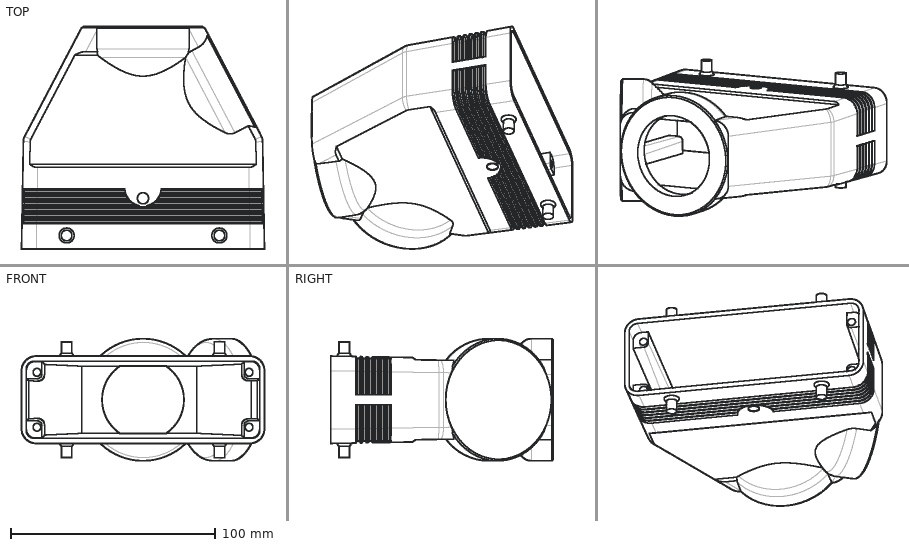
import cadquery as cq
import math

LENGTH = 109.2
HALF_WIDTH = 59.6
HALF_HEIGHT = 21.5
DRAFT = 1.0
CORNER_RADIUS = 7.2

SHOULDER_RADIUS = 4.8
SHOULDER_Y = 54.1
BODY_END_Y = 108.5
BODY_END_HALF_WIDTH = 30.2

PANEL_START_Y = 40.1
PANEL_END_Y = 96.8
PANEL_DEPTH = 1.1
PANEL_RAMP = 1.7

GROOVE_COUNT = 6
GROOVE_PITCH = 3.0
GROOVE_START_Y = 12.0
GROOVE_DEPTH = 0.9
GROOVE_TOP_WIDTH = 2.4
GROOVE_FLOOR_WIDTH = 1.0
GROOVE_SIDE_GAP = 5.0
BADGE_Y = 30.0
BADGE_RADIUS = 9.0
DIMPLE_Y = 24.9
DIMPLE_RADIUS = 2.7
DIMPLE_DEPTH = 0.4

PORT_DIAMETER = 60.0
PORT_RADIUS = PORT_DIAMETER / 2
PORT_CYLINDER_LENGTH = 13.4
PORT_DEPTH = 26.2
PORT_EDGE_RADIUS = 6.0
PORT_RIM_CHAMFER = 0.8
SIDE_PORT_Y = 82.3
SIDE_PORT_STANDOFF = 0.1
CABLE_HOLE_RADIUS = 20.0

PIN_X = 37.4
PIN_Y = 6.7
PIN_RADIUS = 2.6
PIN_TIP_Z = 28.4
PIN_FOOT_RADIUS = 3.7
PIN_FOOT_TOP_Z = 22.9
PIN_SINK = 1.2

MOUTH_HALF_WIDTH = 57.3
MOUTH_HALF_HEIGHT = 19.0
CAVITY_DRAFT = 1.4
CAVITY_CORNER_RADIUS = 4.2
CAVITY_SHOULDER_Y = 52.5
CAVITY_END_Y = 102.5
CAVITY_END_LEFT = -29.9
CAVITY_END_RIGHT = 26.5
CAVITY_LEDGE = 3.1

POST_START_Y = 9.0
POST_END_Y = 73.9
POST_INNER_X = 49.6
POST_INNER_Z = 10.4
POST_DRAFT = 1.4
POST_EDGE_RADIUS = 2.1
SCREW_X = 52.0
SCREW_Z = 13.5
SCREW_RADIUS = 1.9
SCREW_DEPTH = 14.3

PICK_MARGIN = 1.2

draft_slope = math.tan(math.radians(DRAFT))
cavity_slope = math.tan(math.radians(CAVITY_DRAFT))
shoulder_half_width = HALF_WIDTH - SHOULDER_Y * draft_slope
slope_run = shoulder_half_width - BODY_END_HALF_WIDTH
slope_rise = BODY_END_Y - SHOULDER_Y


def body_half_height(y):
    return HALF_HEIGHT - y * draft_slope


def edges_near_y(y):
    """Selector for the edges that lie close to one place along Y."""
    return cq.selectors.BoxSelector(
        (-LENGTH, y - PICK_MARGIN, -LENGTH),
        (LENGTH, y + PICK_MARGIN, LENGTH),
        boundingbox=True,
    )


def drafted_prism(outline, end_y, half_height, slope):
    """XY outline with a height that shrinks steadily along Y."""
    end_half_height = half_height - end_y * slope
    prism = cq.Workplane("XY").polyline(outline).close().extrude(half_height, both=True)
    wedge = (
        cq.Workplane("YZ")
        .polyline([
            (0, -half_height),
            (end_y, -end_half_height),
            (end_y, end_half_height),
            (0, half_height),
        ])
        .close()
        .extrude(HALF_WIDTH, both=True)
    )
    return prism.intersect(wedge)


def hood_body():
    outline = [
        (-HALF_WIDTH, 0),
        (HALF_WIDTH, 0),
        (shoulder_half_width, SHOULDER_Y),
        (BODY_END_HALF_WIDTH, BODY_END_Y),
        (-BODY_END_HALF_WIDTH, BODY_END_Y),
        (-shoulder_half_width, SHOULDER_Y),
    ]
    body = drafted_prism(outline, BODY_END_Y, HALF_HEIGHT, draft_slope)
    body = body.edges("|Z").edges(edges_near_y(SHOULDER_Y)).fillet(SHOULDER_RADIUS)
    return body.edges("not (|X or |Z)").fillet(CORNER_RADIUS)


def panel_recess():
    floor_start_y = PANEL_START_Y + PANEL_RAMP
    floor_end_y = PANEL_END_Y - PANEL_RAMP
    upper = (
        cq.Workplane("YZ")
        .polyline([
            (PANEL_START_Y, HALF_HEIGHT),
            (PANEL_START_Y, body_half_height(PANEL_START_Y)),
            (floor_start_y, body_half_height(floor_start_y) - PANEL_DEPTH),
            (floor_end_y, body_half_height(floor_end_y) - PANEL_DEPTH),
            (PANEL_END_Y, body_half_height(PANEL_END_Y)),
            (PANEL_END_Y, HALF_HEIGHT),
        ])
        .close()
        .extrude(HALF_WIDTH, both=True)
    )
    return upper.union(upper.mirror("XY"))


def groove(center_y):
    """Trapezoidal ring groove around the rounded body section."""
    inset = center_y * draft_slope + GROOVE_DEPTH
    flank = (GROOVE_TOP_WIDTH - GROOVE_FLOOR_WIDTH) / 2
    flank_angle = math.degrees(math.atan2(GROOVE_DEPTH, flank))
    floor_section = (
        cq.Sketch()
        .rect(2 * (HALF_WIDTH - inset), 2 * (HALF_HEIGHT - inset))
        .vertices()
        .fillet(CORNER_RADIUS - GROOVE_DEPTH)
    )
    ring = cq.Workplane("XY").box(2 * HALF_WIDTH, GROOVE_TOP_WIDTH, 2 * HALF_HEIGHT)
    floor_core = cq.Workplane("XZ").placeSketch(floor_section).extrude(GROOVE_FLOOR_WIDTH / 2, both=True)
    front_flank = (
        cq.Workplane("XZ", origin=(0, -GROOVE_FLOOR_WIDTH / 2, 0))
        .placeSketch(floor_section)
        .extrude(flank, taper=-flank_angle)
    )
    ring = ring.cut(floor_core).cut(front_flank).cut(front_flank.mirror("XZ"))
    return ring.translate((0, center_y, 0))


def grip_grooves():
    gap = cq.Workplane("XY").box(3 * HALF_WIDTH, 2 * LENGTH, GROOVE_SIDE_GAP)
    badge = cq.Workplane("XY").center(0, BADGE_Y).circle(BADGE_RADIUS).extrude(HALF_HEIGHT, both=True)
    plain_areas = gap.union(badge)
    centers = [GROOVE_START_Y + (i + 0.5) * GROOVE_PITCH for i in range(GROOVE_COUNT)]
    return [groove(y).cut(plain_areas) for y in centers]


def badge_dimples():
    floor_z = body_half_height(DIMPLE_Y) - DIMPLE_DEPTH
    upper = (
        cq.Workplane("XY", origin=(0, DIMPLE_Y, floor_z))
        .circle(DIMPLE_RADIUS)
        .extrude(HALF_HEIGHT - floor_z)
    )
    return upper.union(upper.mirror("XY"))


def cable_port():
    """Port at the origin with its face at Y = 0, reaching back along -Y."""
    cone_end_radius = PORT_RADIUS - (PORT_DEPTH - PORT_CYLINDER_LENGTH)
    port = (
        cq.Workplane("XY")
        .polyline([
            (0, 0),
            (PORT_RADIUS - PORT_RIM_CHAMFER, 0),
            (PORT_RADIUS, -PORT_RIM_CHAMFER),
            (PORT_RADIUS, -PORT_CYLINDER_LENGTH),
            (cone_end_radius, -PORT_DEPTH),
            (0, -PORT_DEPTH),
        ])
        .close()
        .revolve(360, (0, 0, 0), (0, 1, 0))
    )
    return port.edges(edges_near_y(-PORT_CYLINDER_LENGTH)).fillet(PORT_EDGE_RADIUS)


def side_port():
    tilt = math.degrees(math.atan2(slope_rise, slope_run))
    slope_x = shoulder_half_width - (SIDE_PORT_Y - SHOULDER_Y) * slope_run / slope_rise
    return (
        cable_port()
        .translate((0, SIDE_PORT_STANDOFF, 0))
        .rotate((0, 0, 0), (0, 0, 1), -tilt)
        .translate((slope_x, SIDE_PORT_Y, 0))
    )


def locking_pin(x):
    """Pin with a conical foot on the upper wall."""
    wall_z = body_half_height(PIN_Y)
    foot_z = wall_z - PIN_SINK
    return (
        cq.Workplane("XZ")
        .polyline([
            (0, foot_z),
            (PIN_FOOT_RADIUS, foot_z),
            (PIN_FOOT_RADIUS, wall_z),
            (PIN_RADIUS, PIN_FOOT_TOP_Z),
            (PIN_RADIUS, PIN_TIP_Z),
            (0, PIN_TIP_Z),
        ])
        .close()
        .revolve(360, (0, 0, 0), (0, 1, 0))
        .translate((x, PIN_Y, 0))
    )


def screw_post():
    """Corner post at +X +Z with its screw hole, growing wider towards its root."""
    width = HALF_WIDTH - POST_INNER_X
    height = HALF_HEIGHT - POST_INNER_Z
    section = cq.Sketch().rect(width, height).vertices().fillet(POST_EDGE_RADIUS)
    post = (
        cq.Workplane("XZ", origin=(POST_INNER_X + width / 2, POST_START_Y, POST_INNER_Z + height / 2))
        .placeSketch(section)
        .extrude(-(POST_END_Y - POST_START_Y), taper=-POST_DRAFT)
    )
    screw_hole = (
        cq.Workplane("XZ", origin=(SCREW_X, POST_START_Y, SCREW_Z))
        .circle(SCREW_RADIUS)
        .extrude(-SCREW_DEPTH)
    )
    return post.cut(screw_hole)


def cavity():
    shoulder = MOUTH_HALF_WIDTH - CAVITY_SHOULDER_Y * cavity_slope
    mouth_outline = [
        (-MOUTH_HALF_WIDTH, 0),
        (MOUTH_HALF_WIDTH, 0),
        (shoulder, CAVITY_SHOULDER_Y),
        (-shoulder, CAVITY_SHOULDER_Y),
    ]
    throat_outline = [
        (-shoulder, CAVITY_SHOULDER_Y),
        (shoulder - CAVITY_LEDGE, CAVITY_SHOULDER_Y),
        (CAVITY_END_RIGHT, CAVITY_END_Y),
        (CAVITY_END_LEFT, CAVITY_END_Y),
    ]
    mouth = drafted_prism(mouth_outline, CAVITY_SHOULDER_Y, MOUTH_HALF_HEIGHT, cavity_slope)
    mouth = mouth.edges("not (|X or |Z)").fillet(CAVITY_CORNER_RADIUS)
    throat = drafted_prism(throat_outline, CAVITY_END_Y, MOUTH_HALF_HEIGHT, cavity_slope)
    space = mouth.union(throat)

    upper_post = screw_post()
    for right_post in (upper_post, upper_post.mirror("XY")):
        space = space.cut(right_post).cut(right_post.mirror("YZ"))
    return space


def cable_hole():
    return (
        cq.Workplane("XZ", origin=(0, LENGTH, 0))
        .circle(CABLE_HOLE_RADIUS)
        .extrude(LENGTH - CAVITY_END_Y)
    )


hood = hood_body().cut(panel_recess()).cut(badge_dimples())
for ring_groove in grip_grooves():
    hood = hood.cut(ring_groove)

hood = hood.union(cable_port().translate((0, LENGTH, 0))).union(side_port())

for pin_x in (-PIN_X, PIN_X):
    upper_pin = locking_pin(pin_x)
    hood = hood.union(upper_pin).union(upper_pin.mirror("XY"))

result = hood.cut(cavity()).cut(cable_hole())